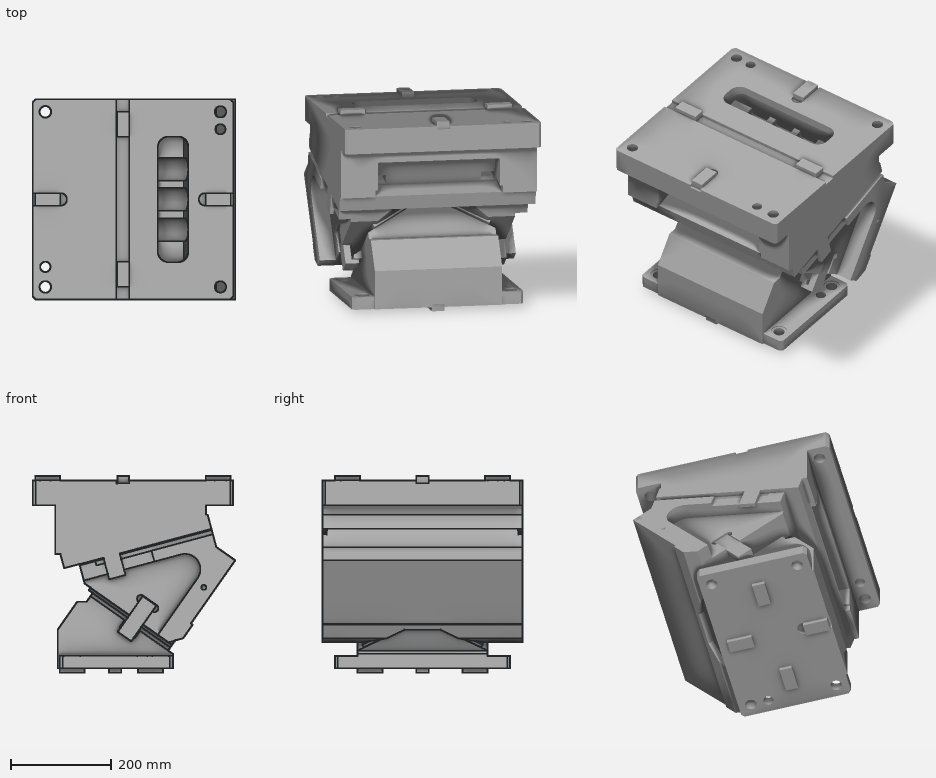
import cadquery as cq
import math


HOLDER_TILT = 15.0
BASE_TILT = 35.0

ALONG_HOLDER = HOLDER_TILT
OFF_HOLDER = HOLDER_TILT + 90
ALONG_BASE = -BASE_TILT
OFF_BASE = 90 - BASE_TILT
LEVEL = 0
UPRIGHT = 90


def heading(angle):
    return cq.Vector(math.cos(math.radians(angle)), 0, math.sin(math.radians(angle)))


def meet(angle_a, distance_a, angle_b, distance_b):
    """(x, z) of the point that lies at the given distances along two headings."""
    a = heading(angle_a)
    b = heading(angle_b)
    determinant = a.x * b.z - a.z * b.x
    x = (distance_a * b.z - distance_b * a.z) / determinant
    z = (a.x * distance_b - b.x * distance_a) / determinant
    return (x, z)


def along_base(x, z):
    """Distance of the point (x, z) along the base tilt."""
    along = heading(ALONG_BASE)
    return x * along.x + z * along.z


SIDE_PLANE = cq.Plane((0, 0, 0), xDir=(1, 0, 0), normal=(0, -1, 0))
HOLDER_SIDE = cq.Plane((0, 0, 0), xDir=heading(ALONG_HOLDER), normal=(0, -1, 0))
BASE_SIDE = cq.Plane((0, 0, 0), xDir=heading(ALONG_BASE), normal=(0, -1, 0))

FAR = 485.5


def slab(points, half_width, plane=SIDE_PLANE):
    """Profile in a side plane, extruded symmetrically about Y = 0."""
    return cq.Workplane(plane).polyline(points).close().extrude(half_width, both=True)


def block(x_range, y_range, z_range):
    """Box with sides along X, Y and Z."""
    x0, x1 = x_range
    y0, y1 = y_range
    z0, z1 = z_range
    return cq.Workplane("XY").box(x1 - x0, y1 - y0, z1 - z0, centered=False).translate((x0, y0, z0))


def tilted_block(plane, along, off, y_range):
    """Box with sides along the two axes of a tilted side plane and along Y."""
    y0, y1 = y_range
    return (
        cq.Workplane(plane)
        .moveTo(sum(along) / 2, sum(off) / 2)
        .rect(along[1] - along[0], off[1] - off[0])
        .extrude(y1 - y0)
        .translate((0, y1, 0))
    )


def both_sides(shape):
    """The shape together with its mirror image about Y = 0."""
    return shape.union(shape.mirror("XZ"))


def guide_section(points, start, end):
    """(Y, height off the base) section swept along the base guide."""
    plane = cq.Plane(heading(ALONG_BASE) * start, xDir=(0, 1, 0), normal=heading(ALONG_BASE))
    return cq.Workplane(plane).polyline(points).close().extrude(end - start)


PLATE_SIDE = 400.0
HALF_PLATE = PLATE_SIDE / 2
TOP = 375.5
PLATE_THICKNESS = 50.0
PLATE_UNDERSIDE = TOP - PLATE_THICKNESS
CORNER_CHAMFER = 6.0

KEY_LENGTH = 50.0
KEY_WIDTH = 25.0
KEY_RISE = 9.0
KEYWAY_DEPTH = 6.0
HALF_KEY = KEY_WIDTH / 2

SCREW_RADIUS = 11.5
DOWEL_RADIUS = 10.0

HOLDER_FACE = 228.5
HOLDER_LEFT = -155.5
HOLDER_RIGHT = 146.0
LEFT_SHOULDER_Z = 228.0
RIGHT_SHOULDER_Z = 307.0
LEFT_TILTED_END = -81.0
RIGHT_TILTED_END = 223.5

TONGUE = (0.5, 34.0)
TONGUE_END = 184.0
TONGUE_THICKNESS = 7.5
TONGUE_INSIDE = HALF_PLATE - TONGUE_THICKNESS

HOLE_PITCH_HALF = 174.8
DOWEL_FRONT_Y = -134.7
DOWEL_BACK_Y = 140.0

CROSS_KEY_X = -20.2
CROSS_KEY_INNER = 124.5
CROSS_KEY_GAP = 1.5
END_KEY_MARGIN = 5.0
END_KEYWAY_LENGTH = 68.5

WINDOW_X = (49.5, 110.5)
WINDOW_HALF_LENGTH = 125.5
WINDOW_CORNER = 22.2
WINDOW_FLOOR = 302.0
WINDOW_FLOOR_END = 186.0
TRENCH_END = 199.5
TRENCH_TOP = 317.0
TRENCH_CORNER = 20.2
SPRING_PITCH = 60.3
SPRING_RADIUS = 23.0
SPRING_AXIS_DEPTH = 10.0

POCKET_HALF_WIDTH = 124.5
POCKET_TOP = 298.0
POCKET_BACK = -29.5
POCKET_FLOOR = 258.0
POCKET_FOOT_HALF_WIDTH = 130.0
POCKET_FOOT_TOP = 274.3
NICHE_FLOOR = 264.5
NICHE_LIP = 261.7
NICHE_ROOF = 279.5
NICHE_RAMP_END = -18.5
NICHE_END = 28.5
NICHE_INNER_Y = 97.0


def end_key(x_outer, toward, z_face, rise):
    """Key along X at Y = 0, from its outer end toward the middle of the unit."""
    x_range = sorted((x_outer, x_outer + toward * KEY_LENGTH))
    z_range = sorted((z_face - math.copysign(KEYWAY_DEPTH, rise), z_face + rise))
    return block(x_range, (-HALF_KEY, HALF_KEY), z_range)


def end_keyway(x_edge, toward, z_face, depth_direction):
    """Keyway along X that starts at an edge and has a round inner end."""
    x_round = x_edge + toward * (END_KEYWAY_LENGTH - HALF_KEY)
    z_range = sorted((z_face, z_face + depth_direction * KEYWAY_DEPTH))
    straight = block(sorted((x_edge, x_round)), (-HALF_KEY, HALF_KEY), z_range)
    end = cq.Workplane("XY").circle(HALF_KEY).extrude(KEYWAY_DEPTH).translate((x_round, 0, z_range[0]))
    return straight.union(end)


def holder_block():
    half = HALF_PLATE
    plate = block((-half, half), (-half, half), (PLATE_UNDERSIDE, TOP)).edges("|Z").chamfer(CORNER_CHAMFER)
    profile = [
        (HOLDER_LEFT, PLATE_UNDERSIDE),
        (HOLDER_LEFT, LEFT_SHOULDER_Z),
        meet(ALONG_HOLDER, LEFT_TILTED_END, UPRIGHT, LEFT_SHOULDER_Z),
        meet(ALONG_HOLDER, LEFT_TILTED_END, OFF_HOLDER, HOLDER_FACE),
        meet(ALONG_HOLDER, RIGHT_TILTED_END, OFF_HOLDER, HOLDER_FACE),
        meet(ALONG_HOLDER, RIGHT_TILTED_END, UPRIGHT, RIGHT_SHOULDER_Z),
        (HOLDER_RIGHT, RIGHT_SHOULDER_Z),
        (HOLDER_RIGHT, PLATE_UNDERSIDE),
    ]
    tongue = tilted_block(HOLDER_SIDE, TONGUE, (TONGUE_END, HOLDER_FACE), (TONGUE_INSIDE, HALF_PLATE))
    return plate.union(slab(profile, HALF_PLATE)).union(both_sides(tongue))


def window():
    """Blind window with a sloping floor, three spring grooves in it and a trench at the +X end."""
    x0, x1 = WINDOW_X
    shaft = (
        block(WINDOW_X, (-WINDOW_HALF_LENGTH, WINDOW_HALF_LENGTH), (LEFT_SHOULDER_Z, TOP))
        .edges("|Z")
        .fillet(WINDOW_CORNER)
    )
    side = [
        (x0, TOP),
        meet(LEVEL, x0, OFF_HOLDER, WINDOW_FLOOR),
        meet(LEVEL, x1, OFF_HOLDER, WINDOW_FLOOR),
        (x1, TOP),
    ]
    opening = slab(side, WINDOW_HALF_LENGTH)
    groove_plane = cq.Plane(
        heading(OFF_HOLDER) * WINDOW_FLOOR, xDir=(0, 1, 0), normal=heading(ALONG_HOLDER)
    )
    groove = (
        cq.Workplane(groove_plane)
        .moveTo(-SPRING_RADIUS, 0)
        .lineTo(-SPRING_RADIUS, -SPRING_AXIS_DEPTH)
        .threePointArc((0, -SPRING_AXIS_DEPTH - SPRING_RADIUS), (SPRING_RADIUS, -SPRING_AXIS_DEPTH))
        .lineTo(SPRING_RADIUS, 0)
        .close()
        .extrude(WINDOW_FLOOR_END)
    )
    for y in (-SPRING_PITCH, 0, SPRING_PITCH):
        opening = opening.union(groove.translate((0, y, 0)))
    floor_ledge = tilted_block(
        HOLDER_SIDE,
        (0, WINDOW_FLOOR_END),
        (POCKET_FLOOR, WINDOW_FLOOR),
        (-WINDOW_HALF_LENGTH, WINDOW_HALF_LENGTH),
    )
    trench = (
        tilted_block(
            HOLDER_SIDE,
            (TRENCH_END - 2 * TRENCH_CORNER, TRENCH_END),
            (POCKET_FLOOR, TRENCH_TOP),
            (-WINDOW_HALF_LENGTH, WINDOW_HALF_LENGTH),
        )
        .edges(cq.selectors.ParallelDirSelector(heading(OFF_HOLDER)))
        .edges(">X")
        .fillet(TRENCH_CORNER)
        .cut(floor_ledge)
    )
    return opening.intersect(shaft).union(trench)


def pocket_profile(ceiling):
    """Side profile of the pocket below a ceiling, given as a heading and a distance along it."""
    return [
        meet(LEVEL, HOLDER_LEFT, OFF_HOLDER, POCKET_FLOOR),
        meet(ALONG_HOLDER, POCKET_BACK, OFF_HOLDER, POCKET_FLOOR),
        meet(ALONG_HOLDER, POCKET_BACK, *ceiling),
        meet(LEVEL, HOLDER_LEFT, *ceiling),
    ]


def side_pocket():
    """Pocket open to -X, wider in its lowest layer, with a niche in the back at each side."""
    pocket = slab(pocket_profile((UPRIGHT, POCKET_TOP)), POCKET_HALF_WIDTH)
    foot_layer = slab(pocket_profile((OFF_HOLDER, POCKET_FOOT_TOP)), POCKET_FOOT_HALF_WIDTH)
    niche_profile = [
        (POCKET_BACK, NICHE_LIP),
        (NICHE_RAMP_END, NICHE_FLOOR),
        (NICHE_END, NICHE_FLOOR),
        (NICHE_END, NICHE_ROOF),
        (POCKET_BACK, NICHE_ROOF),
    ]
    niches = slab(niche_profile, POCKET_HALF_WIDTH, HOLDER_SIDE).cut(
        slab(niche_profile, NICHE_INNER_Y, HOLDER_SIDE)
    )
    return pocket.union(foot_layer).union(niches)


def holder_holes():
    pitch = (-HOLE_PITCH_HALF, HOLE_PITCH_HALF)
    corners = [(x, y) for x in pitch for y in pitch]
    dowels = [(-HOLE_PITCH_HALF, DOWEL_FRONT_Y), (HOLE_PITCH_HALF, DOWEL_BACK_Y)]
    plate = cq.Workplane("XY", origin=(0, 0, PLATE_UNDERSIDE))
    screws = plate.pushPoints(corners).circle(SCREW_RADIUS).extrude(PLATE_THICKNESS)
    return screws.union(plate.pushPoints(dowels).circle(DOWEL_RADIUS).extrude(PLATE_THICKNESS))


def make_holder():
    holder = holder_block().cut(window()).cut(side_pocket()).cut(holder_holes())

    cross_x = (CROSS_KEY_X - HALF_KEY, CROSS_KEY_X + HALF_KEY)
    keyway_z = (TOP - KEYWAY_DEPTH, TOP)
    holder = holder.cut(block(cross_x, (-HALF_PLATE, HALF_PLATE), keyway_z))
    cross_key = block(
        (cross_x[0] + CROSS_KEY_GAP, cross_x[1]),
        (CROSS_KEY_INNER, CROSS_KEY_INNER + KEY_LENGTH),
        (TOP - KEYWAY_DEPTH, TOP + KEY_RISE),
    )
    holder = holder.union(both_sides(cross_key))

    for edge, toward in ((-HALF_PLATE, 1), (HALF_PLATE, -1)):
        holder = holder.cut(end_keyway(edge, toward, TOP, -1))
        holder = holder.union(end_key(edge + toward * END_KEY_MARGIN, toward, TOP, KEY_RISE))
    return holder


BASE_LEFT = -150.0
BASE_RIGHT = 80.0
BASE_HALF_WIDTH = 130.0
BASE_STEEP_Z = 77.5
BASE_SHELF_Z = 133.0

FOOT_LEFT = -146.5
FOOT_HALF_WIDTH = 174.8
FOOT_THICKNESS = 25.0

GUIDE = (-152.0, 37.2)
EAVES = 69.5
RIDGE_HALF_WIDTH = 36.0
ROOF_ANGLE = 30.0
ROOF_SLOPE = math.tan(math.radians(ROOF_ANGLE))
RIDGE = EAVES + (BASE_HALF_WIDTH - RIDGE_HALF_WIDTH) * ROOF_SLOPE

FLANGE = (-68.8, -31.5)
FLANGE_TIP = 145.5
FLANGE_UNDERSIDE = 52.0

FOOT_HOLE_EDGE = 25.0
FOOT_HOLE_Y = FOOT_HALF_WIDTH - FOOT_HOLE_EDGE
FOOT_SCREW_X = (FOOT_LEFT + FOOT_HOLE_EDGE, BASE_RIGHT - FOOT_HOLE_EDGE)
FOOT_DOWEL_X = 19.0
COUNTERBORE_RADIUS = 16.0
COUNTERBORE_DEPTH = 2.0

BASE_CROSS_KEY_X = -35.5
BASE_CROSS_KEY_INNER = 79.5
BASE_RIGHT_KEY_END = 60.3


def base_body():
    profile = [
        (BASE_LEFT, 0),
        (BASE_RIGHT, 0),
        meet(LEVEL, BASE_RIGHT, OFF_BASE, EAVES),
        meet(ALONG_BASE, GUIDE[0], OFF_BASE, EAVES),
        meet(ALONG_BASE, GUIDE[0], UPRIGHT, BASE_SHELF_Z),
        meet(ALONG_BASE, along_base(BASE_LEFT, BASE_STEEP_Z), UPRIGHT, BASE_SHELF_Z),
        (BASE_LEFT, BASE_STEEP_Z),
    ]
    roof = [
        (-BASE_HALF_WIDTH, EAVES),
        (BASE_HALF_WIDTH, EAVES),
        (RIDGE_HALF_WIDTH, RIDGE),
        (-RIDGE_HALF_WIDTH, RIDGE),
    ]
    flange = [
        (BASE_HALF_WIDTH, EAVES),
        (FLANGE_TIP, EAVES - (FLANGE_TIP - BASE_HALF_WIDTH) * ROOF_SLOPE),
        (FLANGE_TIP, FLANGE_UNDERSIDE),
        (BASE_HALF_WIDTH, FLANGE_UNDERSIDE),
    ]
    body = slab(profile, BASE_HALF_WIDTH).union(guide_section(roof, *GUIDE))
    return body.union(both_sides(guide_section(flange, *FLANGE)))


def base_foot():
    foot = block((FOOT_LEFT, BASE_RIGHT), (-FOOT_HALF_WIDTH, FOOT_HALF_WIDTH), (0, FOOT_THICKNESS))
    foot = foot.edges("|Z").chamfer(CORNER_CHAMFER)
    screws = [(x, y) for x in FOOT_SCREW_X for y in (-FOOT_HOLE_Y, FOOT_HOLE_Y)]
    bottom = cq.Workplane("XY")
    foot = foot.cut(bottom.pushPoints(screws).circle(SCREW_RADIUS).extrude(FOOT_THICKNESS))
    foot = foot.cut(bottom.center(FOOT_DOWEL_X, -FOOT_HOLE_Y).circle(DOWEL_RADIUS).extrude(FOOT_THICKNESS))
    counterbores = (
        cq.Workplane("XY", origin=(0, 0, FOOT_THICKNESS))
        .pushPoints(screws)
        .circle(COUNTERBORE_RADIUS)
        .extrude(-COUNTERBORE_DEPTH)
    )
    return foot.cut(counterbores)


def make_base():
    base = base_body().union(base_foot())
    cross_key = block(
        (BASE_CROSS_KEY_X - HALF_KEY, BASE_CROSS_KEY_X + HALF_KEY),
        (BASE_CROSS_KEY_INNER, BASE_CROSS_KEY_INNER + KEY_LENGTH),
        (-KEY_RISE, 0),
    )
    base = base.union(both_sides(cross_key))
    base = base.cut(end_keyway(BASE_LEFT, 1, 0, 1))
    base = base.union(end_key(FOOT_LEFT, 1, 0, -KEY_RISE))
    return base.union(end_key(BASE_RIGHT_KEY_END, -1, 0, -KEY_RISE))


SLIDER_TOP = 226.0
SLIDER_LEFT = -49.5
SLIDER_RIGHT = 223.5
SLIDER_UNDERSIDE = 83.5
SLIDER_HEEL = 32.0
HEEL_END = 47.7
HEEL_TOP = 140.0
WORK_FACE = 43.5
WORK_FACE_TOP = 294.0

RECESS_TOP = 195.0
RECESS_END = 2.5
RECESS_CORNER = 30.7
RECESS_WALL_Y = 167.5

RAIL_END = 96.5
STRIP_START = -17.0
STRIP_BOTTOM = 217.2
STRIP_DEPTH = 1.2

PAD_HALF_WIDTH = 190.0

VEE_CLEARANCE = 3.5
LINER = (-162.0, 36.5)
LINER_THICKNESS = 7.0
LINER_OUTER_Y = 117.0

HOOK = (-66.7, -33.5)
HOOK_Y = (151.0, 164.2)
HOOK_TOE_Y = 136.5
HOOK_TOP = 129.5
HOOK_BOTTOM = 42.5
HOOK_TOE_TOP = 51.0
RELIEF_RADIUS = 7.5
HOOK_GAP = 1.2

DIMPLE_CENTRE = (141.5, 162.0)
DIMPLE_RADIUS = 5.0
DIMPLE_DEPTH = 5.0


def slider_block():
    profile = [
        meet(ALONG_HOLDER, SLIDER_LEFT, OFF_HOLDER, SLIDER_TOP),
        meet(ALONG_HOLDER, SLIDER_LEFT, OFF_BASE, SLIDER_UNDERSIDE),
        meet(OFF_HOLDER, SLIDER_HEEL, OFF_BASE, SLIDER_UNDERSIDE),
        meet(OFF_HOLDER, SLIDER_HEEL, ALONG_BASE, HEEL_END),
        meet(ALONG_BASE, HEEL_END, OFF_BASE, HEEL_TOP),
        meet(ALONG_BASE, WORK_FACE, OFF_BASE, HEEL_TOP),
        meet(ALONG_BASE, WORK_FACE, OFF_BASE, WORK_FACE_TOP),
        meet(ALONG_HOLDER, SLIDER_RIGHT, OFF_BASE, WORK_FACE_TOP),
        meet(ALONG_HOLDER, SLIDER_RIGHT, OFF_HOLDER, SLIDER_TOP),
    ]
    return slab(profile, HALF_PLATE)


def side_recess():
    """Triangular recess, open to -X and downward, with one round corner."""
    corner = meet(OFF_HOLDER, RECESS_TOP, ALONG_BASE, RECESS_END)
    profile = [
        meet(OFF_HOLDER, RECESS_TOP, ALONG_HOLDER, -FAR),
        corner,
        meet(ALONG_BASE, RECESS_END, OFF_BASE, -FAR),
    ]
    depth = HALF_PLATE - RECESS_WALL_Y
    recess = cq.Workplane(SIDE_PLANE).polyline(profile).close().extrude(depth)
    round_edge = cq.selectors.NearestToPointSelector((corner[0], -depth / 2, corner[1]))
    return recess.edges("|Y").edges(round_edge).fillet(RECESS_CORNER).translate((0, HALF_PLATE, 0))


def make_slider():
    slider = slider_block().cut(both_sides(side_recess()))

    rail_relief = tilted_block(
        HOLDER_SIDE, (SLIDER_LEFT, RAIL_END), (RECESS_TOP, SLIDER_TOP), (TONGUE_INSIDE, HALF_PLATE)
    )
    strip_groove = tilted_block(
        HOLDER_SIDE, (STRIP_START, SLIDER_RIGHT), (STRIP_BOTTOM, SLIDER_TOP),
        (TONGUE_INSIDE - STRIP_DEPTH, HALF_PLATE),
    )
    slider = slider.cut(both_sides(rail_relief.union(strip_groove)))

    pad = tilted_block(
        HOLDER_SIDE,
        (SLIDER_LEFT, SLIDER_RIGHT),
        (SLIDER_TOP, HOLDER_FACE),
        (-PAD_HALF_WIDTH, PAD_HALF_WIDTH),
    )
    slider = slider.union(pad)

    vee_floor = EAVES + VEE_CLEARANCE
    vee_space = [
        (-BASE_HALF_WIDTH, vee_floor),
        (BASE_HALF_WIDTH, vee_floor),
        (RIDGE_HALF_WIDTH, RIDGE + VEE_CLEARANCE),
        (-RIDGE_HALF_WIDTH, RIDGE + VEE_CLEARANCE),
    ]
    slider = slider.cut(guide_section(vee_space, -FAR, FAR))
    slider = slider.union(both_sides(vee_liner()))

    slot = tilted_block(BASE_SIDE, HOOK, (HOOK_BOTTOM, HOOK_TOP + HOOK_GAP), (HOOK_Y[0], RECESS_WALL_Y))
    slider = slider.cut(both_sides(slot.union(hook_reliefs())))
    slider = slider.union(both_sides(hook()))
    return slider.cut(both_sides(side_dimple()))


def vee_liner():
    """Flat liner that lies on one slope of the roof, with square edges."""
    roof_angle = math.radians(ROOF_ANGLE)
    lean_y = LINER_THICKNESS * math.sin(roof_angle)
    lean_up = LINER_THICKNESS * math.cos(roof_angle)
    outer_height = EAVES + (BASE_HALF_WIDTH - LINER_OUTER_Y) * ROOF_SLOPE
    section = [
        (LINER_OUTER_Y, outer_height),
        (LINER_OUTER_Y + lean_y, outer_height + lean_up),
        (RIDGE_HALF_WIDTH + lean_y, RIDGE + lean_up),
        (RIDGE_HALF_WIDTH, RIDGE),
    ]
    return guide_section(section, *LINER)


def hook():
    """L-shaped hook that hangs beside the base, its toe under the flange."""
    leg = tilted_block(BASE_SIDE, HOOK, (HOOK_BOTTOM, HOOK_TOP), HOOK_Y)
    toe = tilted_block(BASE_SIDE, HOOK, (HOOK_BOTTOM, HOOK_TOE_TOP), (HOOK_TOE_Y, HOOK_Y[0]))
    return leg.union(toe)


def hook_reliefs():
    """Round reliefs at the two upper corners of the hook slot."""
    height = HOOK_TOP + HOOK_GAP - RELIEF_RADIUS
    return (
        cq.Workplane(BASE_SIDE)
        .pushPoints([(HOOK[0], height), (HOOK[1], height)])
        .circle(RELIEF_RADIUS)
        .extrude(RECESS_WALL_Y - HOOK_Y[0])
        .translate((0, RECESS_WALL_Y, 0))
    )


def side_dimple():
    """Conical dimple in the side face."""
    x, z = DIMPLE_CENTRE
    rim_centre = cq.Vector(x, -HALF_PLATE, z)
    inward = cq.Vector(0, 1, 0)
    cone = cq.Solid.makeCone(DIMPLE_RADIUS, 0, DIMPLE_DEPTH, rim_centre, inward)
    return cq.Workplane(cone)


holder = make_holder()
base = make_base()
slider = make_slider()

result = cq.Compound.makeCompound([holder.val(), base.val(), slider.val()])